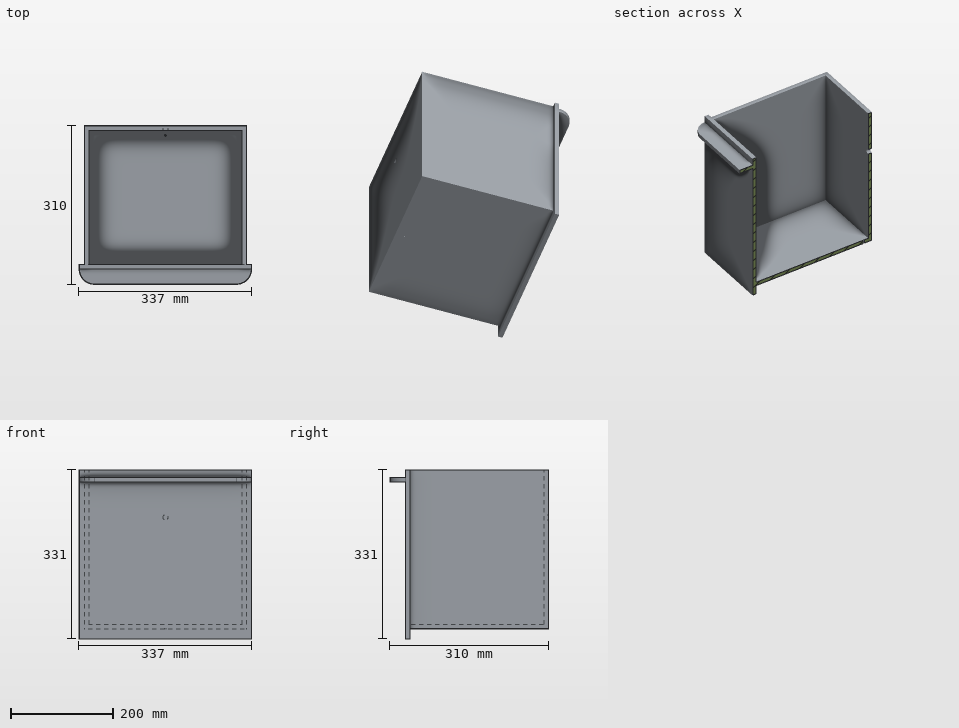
import cadquery as cq

board = 9.0

panel_width = 337.0
panel_height = 331.0
panel_side_overhang = 10.0
panel_bottom_overhang = 20.0

overall_depth = 310.0
handle_reach = 30.0
box_width = panel_width - 2 * panel_side_overhang
box_height = panel_height - panel_bottom_overhang
box_back = overall_depth - handle_reach

handle_drop = 15.0
handle_corner_radius = handle_reach

back_hole_diameter = 10.0
back_hole_drop = 93.0
floor_hole_diameter = 2.5
floor_hole_back_offset = 19.0


def block(width, y_front, y_back, z_bottom, z_top):
    """Rectangular block centred on X = 0."""
    return (
        cq.Workplane("XY")
        .box(width, y_back - y_front, z_top - z_bottom, centered=(True, False, False))
        .translate((0, y_front, z_bottom))
    )


def make_box():
    """Four walls and a floor; the front panel closes the front as the fourth wall."""
    outer = block(box_width, 0, box_back, -box_height, 0)
    cavity = block(box_width - 2 * board, board, box_back - board, board - box_height, 0)
    return outer.cut(cavity)


def make_panel():
    """Front panel overhanging the box at both sides and below."""
    return block(panel_width, 0, board, -panel_height, 0)


def make_handle():
    """Full-width ledge with its two outer corners rounded."""
    half_width = panel_width / 2
    half_straight = half_width - handle_corner_radius
    return (
        cq.Workplane("XY", origin=(0, 0, -handle_drop))
        .moveTo(-half_width, 0)
        .radiusArc((-half_straight, -handle_reach), -handle_corner_radius)
        .lineTo(half_straight, -handle_reach)
        .radiusArc((half_width, 0), -handle_corner_radius)
        .close()
        .extrude(-board)
    )


def back_hole():
    """Cylinder through the back wall."""
    return cq.Workplane(
        cq.Plane(origin=(0, box_back, -back_hole_drop), xDir=(1, 0, 0), normal=(0, -1, 0))
    ).circle(back_hole_diameter / 2).extrude(board)


def floor_hole():
    """Cylinder through the floor, near the back wall."""
    return (
        cq.Workplane("XY", origin=(0, box_back - floor_hole_back_offset, -box_height))
        .circle(floor_hole_diameter / 2)
        .extrude(board)
    )


result = make_box().union(make_panel()).union(make_handle())
result = result.cut(back_hole()).cut(floor_hole())